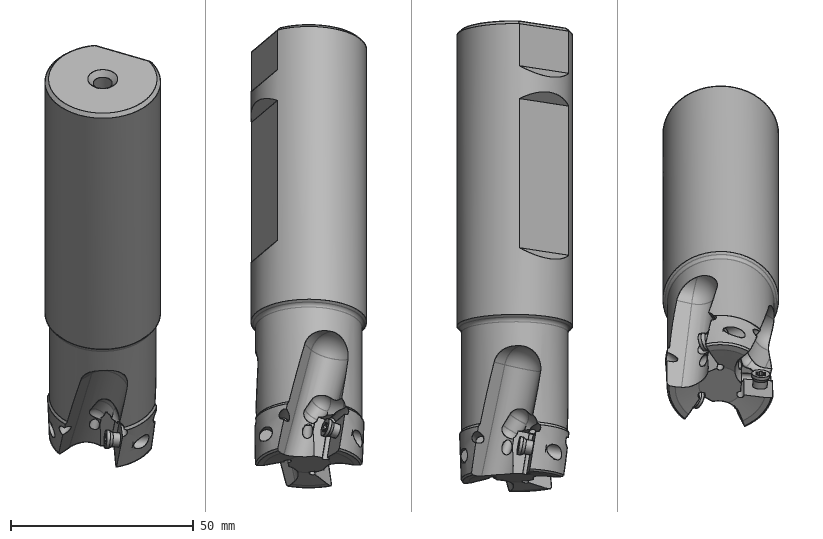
import cadquery as cq
import math


total_height = 125.9
shank_radius = 31.75 / 2
shank_bottom = 43.4
top_chamfer = 1.0
shank_bottom_chamfer = 0.6

flat_distance = 13.45
flat_depth = shank_radius - flat_distance
upper_flat_bottom = 113.1
lower_flat_bottom = 62.1
lower_flat_top = 103.9

neck_radius = 14.65
neck_blend_height = 1.2
head_radius = 15.15
head_bottom_radius = 14.7
head_top = 13.0
head_step_height = 0.8
head_bottom_chamfer = 0.5
dish_outer_radius = 12.5
dish_inner_radius = 6.0
dish_depth = 1.0

bore_radius = 2.6
bore_mouth_radius = 4.1
bore_bottom = 12.0

flute_count = 3
first_flute_angle = 30.0
flute_radius = 6.0
flute_ball_center = cq.Vector(-0.3, -14.6, 28.9)
flute_axis = cq.Vector(-0.19, 0.18, -1).normalized()
flute_wall_angle = 51.0
flute_reach = 40.0
flute_wall_reach = 20.0

seat_tilt = 9.0
seat_offset = 3.5
seat_height = 7.1
pocket_floor = 5.6
pocket_top = 12.3
pocket_depth = 7.0
pocket_thickness = 5.0
top_groove_radius = 1.2
corner_groove_radius = 1.0
corner_cut_radius = 3.2
corner_cut_start = cq.Vector(-2.0, -8.0, 12.8)
corner_cut_bend = cq.Vector(-0.2, -8.5, 15.8)
corner_cut_end = cq.Vector(1.4, -13.5, 13.2)

pocket_outlet_radius = 1.4
coolant_origin = cq.Vector(0, 0, 16.0)
pocket_outlet = cq.Vector(-3.0, -5.6, 7.5)
outlet_overrun = 1.3

edge_hole_start = cq.Vector(-12.5, -11.8, 10.2)
edge_hole_end = cq.Vector(-9.8, -4.2, 9.9)
edge_hole_radius = 1.5

screw_distance = 11.0
screw_radius = 2.0
screw_head_radius = 2.5
screw_head_height = 0.9
screw_cone_height = 0.9
screw_standout = 3.8
screw_insertion = 3.6
star_radius = 1.1
star_lobe_radius = 0.35
star_lobe_count = 6
star_depth = 1.2
screw_hole_length = 20.0


def turn(shape, index):
    angle = first_flute_angle + index * 360.0 / flute_count
    return shape.rotate((0, 0, 0), (0, 0, 1), angle)


def rod(start, end, radius):
    path = end - start
    return cq.Workplane(cq.Solid.makeCylinder(radius, path.Length, start, path))


def ball(center, radius):
    return cq.Workplane("XY").sphere(radius).translate(center)


seat_normal = cq.Vector(math.cos(math.radians(seat_tilt)), 0, -math.sin(math.radians(seat_tilt)))
seat_up = cq.Vector(-seat_normal.z, 0, seat_normal.x)
seat_plane = cq.Plane(origin=(seat_offset, -screw_distance, seat_height), xDir=seat_up, normal=seat_normal)


def turned_blank():
    shoulder_radius = shank_radius - shank_bottom_chamfer
    shoulder_height = shank_bottom - shank_bottom_chamfer
    profile = (
        cq.Workplane("XZ")
        .moveTo(0, 0)
        .lineTo(head_bottom_radius - head_bottom_chamfer, 0)
        .lineTo(head_bottom_radius, head_bottom_chamfer)
        .lineTo(head_radius, head_top)
        .lineTo(neck_radius, head_top + head_step_height)
        .lineTo(neck_radius, shoulder_height - neck_blend_height)
        .tangentArcPoint((shoulder_radius, shoulder_height), relative=False)
        .lineTo(shank_radius, shank_bottom)
        .lineTo(shank_radius, total_height)
        .lineTo(0, total_height)
        .close()
    )
    return profile.revolve(360, (0, 0, 0), (0, 1, 0))


def end_dish():
    return (
        cq.Workplane("XZ")
        .polyline([(0, 0), (dish_outer_radius, 0), (dish_inner_radius, dish_depth), (0, dish_depth)])
        .close()
        .revolve(360, (0, 0, 0), (0, 1, 0))
    )


def clamping_flats():
    outer = shank_radius
    inner = flat_distance
    upper = [
        (inner, upper_flat_bottom),
        (inner, total_height),
        (outer, total_height),
        (outer, upper_flat_bottom - flat_depth),
    ]
    lower = [
        (inner, lower_flat_bottom),
        (inner, lower_flat_top),
        (outer, lower_flat_top + flat_depth),
        (outer, lower_flat_bottom - flat_depth),
    ]
    cuts = cq.Workplane("YZ").polyline(upper).close().extrude(shank_radius, both=True)
    return cuts.add(cq.Workplane("YZ").polyline(lower).close().extrude(shank_radius, both=True))


def coolant_bore():
    mouth_depth = bore_mouth_radius - bore_radius
    return (
        cq.Workplane("XZ")
        .moveTo(0, bore_bottom)
        .lineTo(bore_radius, bore_bottom)
        .lineTo(bore_radius, total_height - mouth_depth)
        .lineTo(bore_mouth_radius, total_height)
        .lineTo(0, total_height)
        .close()
        .revolve(360, (0, 0, 0), (0, 1, 0))
    )


def across_flute(direction):
    return (direction - flute_axis * direction.dot(flute_axis)).normalized()


def flute_slab(outward):
    frame = cq.Plane(origin=flute_ball_center, xDir=outward, normal=flute_axis)
    slab = cq.Workplane(frame).rect(flute_wall_reach, 2 * flute_radius).extrude(flute_reach)
    return slab.translate(outward * (flute_wall_reach / 2))


def flute():
    wall_angle = math.radians(flute_wall_angle)
    leading_outward = across_flute(cq.Vector(-math.sin(wall_angle), -math.cos(wall_angle), 0))
    trailing_outward = across_flute(cq.Vector(0, -1, 0))
    end = flute_ball_center + flute_axis * flute_reach
    wall_end = flute_ball_center + leading_outward * flute_wall_reach
    cut = ball(flute_ball_center, flute_radius)
    cut = cut.union(rod(flute_ball_center, end, flute_radius))
    cut = cut.union(rod(flute_ball_center, wall_end, flute_radius))
    return cut.union(flute_slab(leading_outward)).union(flute_slab(trailing_outward))


def insert_pocket():
    lower = -2 * seat_height
    upper = pocket_top - seat_height
    inner = pocket_floor - screw_distance
    outer = inner + 2 * pocket_depth
    block = (
        cq.Workplane(seat_plane)
        .moveTo(lower, inner)
        .lineTo(upper, inner)
        .lineTo(upper, outer)
        .lineTo(lower, outer)
        .close()
        .extrude(-pocket_thickness)
    )
    top_inner = seat_plane.toWorldCoords((upper, inner, 0))
    top_outer = seat_plane.toWorldCoords((upper, outer, 0))
    bottom_inner = seat_plane.toWorldCoords((lower, inner, 0))
    cut = block.union(rod(top_inner, top_outer, top_groove_radius))
    return cut.union(rod(bottom_inner, top_inner, corner_groove_radius))


def corner_cut():
    cut = rod(corner_cut_start, corner_cut_bend, corner_cut_radius)
    cut = cut.union(rod(corner_cut_bend, corner_cut_end, corner_cut_radius))
    for point in (corner_cut_start, corner_cut_bend, corner_cut_end):
        cut = cut.union(ball(point, corner_cut_radius))
    return cut


def coolant_outlet():
    path = pocket_outlet - coolant_origin
    return rod(coolant_origin, pocket_outlet + path.normalized() * outlet_overrun, pocket_outlet_radius)


def edge_hole():
    return rod(edge_hole_start, edge_hole_end, edge_hole_radius)


def screw_hole():
    return cq.Workplane(seat_plane).circle(screw_radius).extrude(screw_hole_length)


def make_cutter_body():
    body = turned_blank().cut(end_dish()).cut(clamping_flats())
    body = body.faces(">Z").chamfer(top_chamfer)
    body = body.cut(coolant_bore())
    cuts = [
        flute(),
        insert_pocket(),
        corner_cut(),
        coolant_outlet(),
        edge_hole(),
        screw_hole(),
    ]
    for index in range(flute_count):
        for cut in cuts:
            body = body.cut(turn(cut, index))
    return body


def make_clamp_screw():
    head_top_face = -screw_standout
    head_edge = head_top_face + screw_head_height
    cone_end = head_edge + screw_cone_height
    axis_plane = cq.Plane(origin=seat_plane.origin, xDir=seat_up, normal=seat_plane.yDir * -1)
    screw = (
        cq.Workplane(axis_plane)
        .moveTo(0, head_top_face)
        .lineTo(screw_head_radius, head_top_face)
        .lineTo(screw_head_radius, head_edge)
        .lineTo(screw_radius, cone_end)
        .lineTo(screw_radius, screw_insertion)
        .lineTo(0, screw_insertion)
        .close()
        .revolve(360, (0, 0, 0), (0, 1, 0))
    )
    head_face = cq.Workplane(seat_plane).workplane(offset=head_top_face)
    socket = head_face.circle(star_radius).extrude(star_depth)
    lobe_centers = head_face.polarArray(star_radius, 0, 360, star_lobe_count)
    lobes = lobe_centers.circle(star_lobe_radius).extrude(star_depth)
    return screw.cut(socket.union(lobes))


cutter_body = make_cutter_body()
clamp_screw = make_clamp_screw()
clamp_screws = [turn(clamp_screw, index) for index in range(flute_count)]

result = cq.Compound.makeCompound(
    [cutter_body.solids().val(), *[screw.solids().val() for screw in clamp_screws]]
)